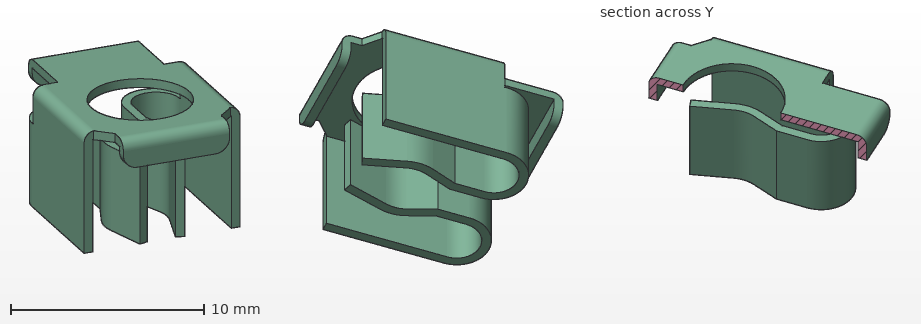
import cadquery as cq
import math

thickness = 0.5
bend_outer_radius = 0.6

plate_x_min = -7.6
plate_x_max = 4.7
tongue_width = 6.0
hole_diameter = 5.5
chamfer_end_x = 3.6

tab_depth = 1.6
tab_corner_radius = 0.8

overall_width = 8.8
overall_height = 6.8
wall_x_min = -3.8
wall_x_max = 2.83
wall_chamfer_y = 3.87

spring_height = 4.7
curl_center_x = -3.9
arm_inner_y = 0.8
bulge_inner_y = 1.5
bulge_inner_radius = 1.8
rise_angle = math.radians(21)
fall_angle = math.radians(16)
arm_end_x = 2.87

half_width = overall_width / 2
half_tongue = tongue_width / 2
curl_outer_radius = (half_width - arm_inner_y) / 2
curl_center_y = half_width - curl_outer_radius
bulge_center_y = bulge_inner_y - bulge_inner_radius


def channel(plane, start, end, depth, half_length):
    """Inverted U from start to end, rounded outside and square inside, extruded both ways from the plane."""
    span = end - start
    outer = (
        cq.Workplane(plane)
        .moveTo(start + span / 2, -depth / 2)
        .rect(span, depth)
        .extrude(half_length, both=True)
    )
    inner = (
        cq.Workplane(plane)
        .moveTo(start + span / 2, -thickness - depth / 2)
        .rect(span - 2 * thickness, depth)
        .extrude(half_length, both=True)
    )
    ridge = "|Y" if plane == "XZ" else "|X"
    outer = outer.edges(ridge).edges(">Z").fillet(bend_outer_radius)
    return outer.cut(inner)


def tongue_with_tabs():
    """Long strip of the plate with a rounded tab folded down at each end."""
    strip = channel("XZ", plate_x_min, plate_x_max, tab_depth, half_tongue)
    return strip.edges("|X").edges("<Z").fillet(tab_corner_radius)


def bridge_with_walls():
    """Wide part of the plate with both side walls folded down."""
    reach = max(-wall_x_min, wall_x_max)
    bridge = channel("YZ", -half_width, half_width, overall_height, reach)
    wall_length = wall_x_max - wall_x_min
    keep = (
        cq.Workplane("XY", origin=(wall_x_min, 0, -overall_height))
        .box(wall_length, overall_width, overall_height, centered=(False, True, False))
    )
    return bridge.intersect(keep)


def chamfer_web():
    """Flat of the plate that tapers from the bridge to the tongue."""
    return (
        cq.Workplane("XY")
        .polyline([
            (wall_x_max, -wall_chamfer_y),
            (chamfer_end_x, -half_tongue),
            (chamfer_end_x, half_tongue),
            (wall_x_max, wall_chamfer_y),
        ])
        .close()
        .extrude(-thickness)
    )


def bulge_point(radius, angle):
    """Point of the bulge arc at an angle measured clockwise from its crest."""
    return (radius * math.sin(angle), bulge_center_y + radius * math.cos(angle))


def arm_points(layer):
    """Corner points of one face of the arm, lying `layer` away from the inner face."""
    radius = bulge_inner_radius + layer
    rise_end = bulge_point(radius, -rise_angle)
    bend_y = arm_inner_y + layer
    bend_x = rise_end[0] - (rise_end[1] - bend_y) / math.tan(rise_angle)
    crest = bulge_point(radius, 0)
    fall_start = bulge_point(radius, fall_angle)
    end_x = arm_end_x - (thickness - layer) * math.sin(fall_angle)
    end_y = fall_start[1] - (end_x - fall_start[0]) * math.tan(fall_angle)
    return (bend_x, bend_y), rise_end, crest, fall_start, (end_x, end_y)


def spring():
    """Curl and contact arm on the +Y side, joined to the lower part of the wall."""
    inner_bend, inner_rise, inner_crest, inner_fall, inner_end = arm_points(0)
    outer_bend, outer_rise, outer_crest, outer_fall, outer_end = arm_points(thickness)
    curl_inner_radius = curl_outer_radius - thickness
    return (
        cq.Workplane("XY", origin=(0, 0, -overall_height))
        .moveTo(wall_x_max, half_width)
        .lineTo(curl_center_x, half_width)
        .threePointArc(
            (curl_center_x - curl_outer_radius, curl_center_y),
            (curl_center_x, arm_inner_y),
        )
        .lineTo(*inner_bend)
        .lineTo(*inner_rise)
        .threePointArc(inner_crest, inner_fall)
        .lineTo(*inner_end)
        .lineTo(*outer_end)
        .lineTo(*outer_fall)
        .threePointArc(outer_crest, outer_rise)
        .lineTo(*outer_bend)
        .lineTo(curl_center_x, arm_inner_y + thickness)
        .threePointArc(
            (curl_center_x - curl_inner_radius, curl_center_y),
            (curl_center_x, half_width - thickness),
        )
        .lineTo(wall_x_max, half_width - thickness)
        .close()
        .extrude(spring_height)
    )


plate_hole = cq.Workplane("XY").circle(hole_diameter / 2).extrude(-thickness)
spring_back = spring()
spring_front = spring_back.mirror("XZ")

result = (
    tongue_with_tabs()
    .union(bridge_with_walls())
    .union(chamfer_web())
    .cut(plate_hole)
    .union(spring_back)
    .union(spring_front)
    .clean()
)